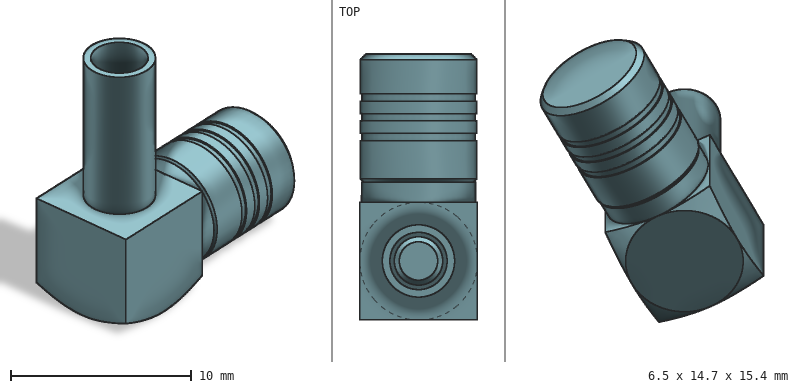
import cadquery as cq
import math

total_height = 15.38
total_length = 14.7

block_side = 6.5
block_height = 6.3
corner_bevel_angle = 30.0

tube_length = 9.0
tube_diameter = 4.0
bore_diameter = 3.17
stem_diameter = 2.68
stem_height = tube_length / 2
stem_chamfer = 0.28

sleeve_diameter = 6.46
neck_diameter = block_height
neck_length = 1.1
nose_chamfer = 0.32
rear_chamfer = 0.18
groove_depth = 0.09
groove_width = 0.4
groove_pitch = 1.09
groove_count = 3
first_groove_offset = 3.4

block_top = total_height - tube_length
block_bottom = block_top - block_height
block_rear = block_side / 2
sleeve_end = total_length - block_side / 2
sleeve_start = block_rear + neck_length
sleeve_axis_height = sleeve_diameter / 2


def cylinder_along_y(diameter, start, end):
    """Round bar on the sleeve axis between two Y positions."""
    plane = cq.Plane(origin=(0, start, sleeve_axis_height), xDir=(1, 0, 0), normal=(0, 1, 0))
    return cq.Workplane(plane).circle(diameter / 2).extrude(end - start)


def make_block():
    """Square block whose lower corners are cut away by a cone about the tube axis."""
    block = (
        cq.Workplane("XY", origin=(0, 0, block_bottom))
        .rect(block_side, block_side)
        .extrude(block_height)
    )
    inner_radius = block_side / 2
    outer_radius = block_side
    cone_rise = (outer_radius - inner_radius) * math.tan(math.radians(corner_bevel_angle))
    envelope = (
        cq.Workplane("XZ")
        .moveTo(0, block_bottom)
        .lineTo(inner_radius, block_bottom)
        .lineTo(outer_radius, block_bottom + cone_rise)
        .lineTo(outer_radius, block_top)
        .lineTo(0, block_top)
        .close()
        .revolve(360, (0, 0, 0), (0, 1, 0))
    )
    return block.intersect(envelope)


def make_tube():
    """Open tube on top of the block."""
    return (
        cq.Workplane("XY", origin=(0, 0, block_top))
        .circle(tube_diameter / 2)
        .circle(bore_diameter / 2)
        .extrude(tube_length)
    )


def make_stem():
    """Solid chamfered stem standing inside the tube."""
    return (
        cq.Workplane("XY", origin=(0, 0, block_top))
        .circle(stem_diameter / 2)
        .extrude(stem_height)
        .faces(">Z")
        .chamfer(stem_chamfer)
    )


def make_sleeve():
    """Coupling sleeve with chamfered ends and a row of shallow ring grooves."""
    sleeve = (
        cylinder_along_y(sleeve_diameter, sleeve_start, sleeve_end)
        .faces(">Y")
        .chamfer(nose_chamfer)
        .faces("<Y")
        .chamfer(rear_chamfer)
    )
    for index in range(groove_count):
        start = block_rear + first_groove_offset + index * groove_pitch
        end = start + groove_width
        ring = cylinder_along_y(sleeve_diameter + groove_depth, start, end).cut(
            cylinder_along_y(sleeve_diameter - 2 * groove_depth, start, end)
        )
        sleeve = sleeve.cut(ring)
    return sleeve


neck = cylinder_along_y(neck_diameter, block_rear, sleeve_start)

result = make_block().union(make_tube()).union(make_stem()).union(neck).union(make_sleeve())